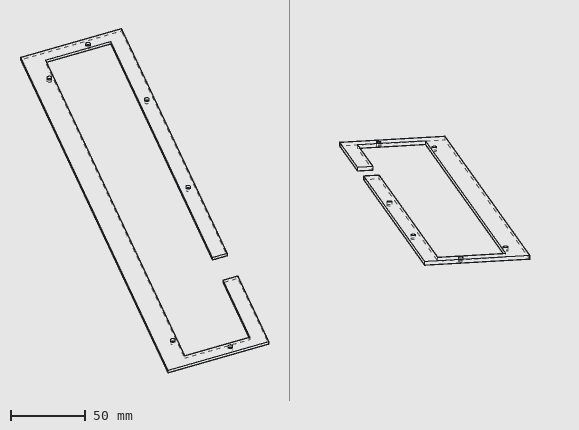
import cadquery as cq

length = 286.8
width = 72.0
thickness = 2.7

side_rail = 8.0
back_rail = 10.5
front_rail = 15.0

gap_start = 62.5
gap_width = 20.6

hole_diameter = 3.2
side_hole_x = 138.5
side_hole_y = 10.3
front_hole_x = 120.2
front_hole_y = -24.0
back_hole_x = -80.3
back_hole_y = 31.0

hole_centers = [
    (-side_hole_x, side_hole_y),
    (side_hole_x, side_hole_y),
    (-front_hole_x, front_hole_y),
    (front_hole_x, front_hole_y),
    (back_hole_x, back_hole_y),
    (0, back_hole_y),
]


def block(x_min, x_max, y_min, y_max):
    """Full-thickness rectangular block between the given limits."""
    return cq.Workplane("XY").box(
        x_max - x_min, y_max - y_min, thickness, centered=False
    ).translate((x_min, y_min, 0))


half_length = length / 2
half_width = width / 2
window_back = half_width - back_rail

plate = block(-half_length, half_length, -half_width, half_width)

window = block(
    -half_length + side_rail,
    half_length - side_rail,
    -half_width + front_rail,
    window_back,
)

gap = block(gap_start, gap_start + gap_width, window_back, half_width)

holes = (
    cq.Workplane("XY")
    .pushPoints(hole_centers)
    .circle(hole_diameter / 2)
    .extrude(thickness)
)

result = plate.cut(window).cut(gap).cut(holes)